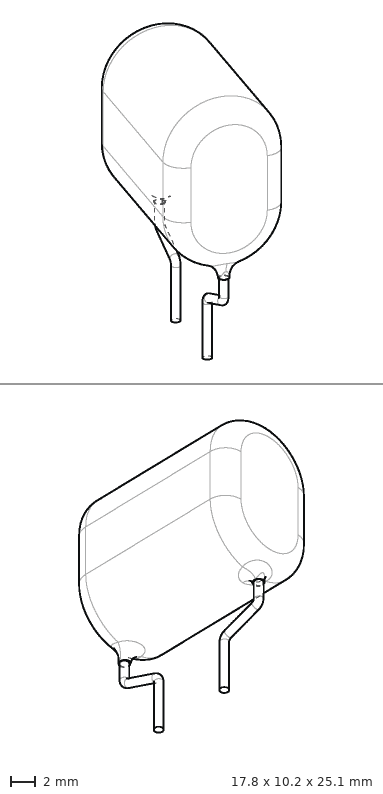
import cadquery as cq
import math

body_length = 17.8
body_thickness = 10.2
body_height = 15.1
body_bottom = 10.0
end_rounding = 1.78

lead_diameter = 0.8
lead_spacing_at_body = 15.35
lead_spacing_at_tip = 7.5
bend_radius = 0.6
upper_corner_height = 6.88
crank_slope = 20.5

collar_radius = 0.48
collar_bottom = 8.99
collar_flare_radius = 1.38

body_middle = body_bottom + body_height / 2
upper_x = lead_spacing_at_body / 2
lower_x = lead_spacing_at_tip / 2
lower_corner_height = upper_corner_height - (upper_x - lower_x) * math.tan(math.radians(crank_slope))
sides = (-1, 1)


def make_rounded_block():
    """Stadium-section block along X with rounded end edges."""
    return (
        cq.Workplane("YZ")
        .center(0, body_middle)
        .slot2D(body_height, body_thickness, 90)
        .extrude(body_length / 2, both=True)
        .faces("<X or >X")
        .edges()
        .fillet(end_rounding)
    )


def add_collar(body, side):
    """Add a flared collar where a lead leaves the body."""
    x = side * upper_x
    stub_bottom = collar_bottom - collar_flare_radius
    stub = (
        cq.Workplane("XY", origin=(x, 0, stub_bottom))
        .circle(collar_radius)
        .extrude(body_middle - stub_bottom)
    )
    joined = body.union(stub)
    joint_edge = cq.selectors.BoxSelector(
        (x - collar_radius, -collar_radius, body_bottom - collar_radius),
        (x + collar_radius, collar_radius, body_bottom + collar_radius),
    )
    flared = joined.edges(joint_edge).edges("%BSPLINE").fillet(collar_flare_radius)
    excess = (
        cq.Workplane("XY", origin=(x, 0, collar_bottom))
        .circle(collar_radius + collar_flare_radius)
        .extrude(stub_bottom - collar_bottom)
    )
    return flared.cut(excess)


def make_body():
    """Rounded block with one collar per lead."""
    body = make_rounded_block()
    for side in sides:
        body = add_collar(body, side)
    return body


def make_lead(side):
    """Round wire cranked inwards, butting against its collar."""
    corners = [
        cq.Vector(side * upper_x, 0, collar_bottom),
        cq.Vector(side * upper_x, 0, upper_corner_height),
        cq.Vector(side * lower_x, 0, lower_corner_height),
        cq.Vector(side * lower_x, 0, 0),
    ]
    path = cq.Wire.makePolygon(corners).fillet(bend_radius, [])
    return (
        cq.Workplane("XY", origin=(side * upper_x, 0, collar_bottom))
        .circle(lead_diameter / 2)
        .sweep(path)
    )


body = make_body()
leads = [make_lead(side) for side in sides]

result = cq.Compound.makeCompound([body.val(), *[lead.val() for lead in leads]])